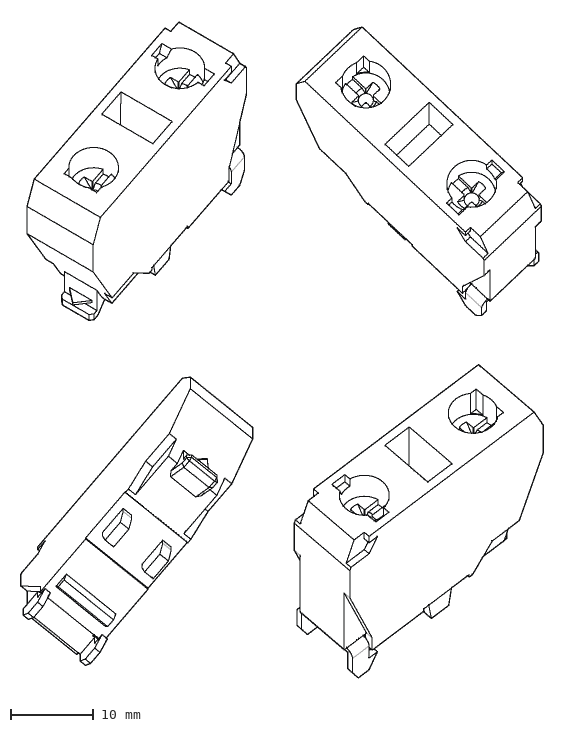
import cadquery as cq


WIDTH = 9.8
LENGTH = 32.0
HEIGHT = 23.5
HALF_WIDTH = WIDTH / 2
FRONT = -LENGTH / 2
BACK = LENGTH / 2
TOP_CORNER_RUN = 1.5
SHOULDER_Z = 19.5
FRONT_KNEE_Z = 13.8
FRONT_FOOT_Y = -10.55
BACK_FOOT_Y = 12.3
OVERHANG_Z = 2.5

BACK_PANEL_INSET = 1.0
BACK_PANEL_TOP_Z = 14.0
FRONT_RECESS_INSET = 1.1
FRONT_RECESS_HEIGHT = 3.8
FRONT_RECESS_BOTTOM_Y = -4.33
FRONT_RECESS_TOP_Y = -7.57
BASE_STEP_LENGTH = 7.5
BASE_STEP_HEIGHT = 0.5

HOOK_THICKNESS = 0.85
HOOK_BACK_Y = 15.57
HOOK_INNER_Y = 12.82
HOOK_TIP_Y = 11.42
HOOK_LEDGE_Z = -1.1
HOOK_CORNER_Z = -1.55
HOOK_BOTTOM_Z = -3.5
HOOK_BOTTOM_BACK_Y = 14.6
HOOK_BEND_RADIUS = 1.15
HOOK_BRIDGE_THICKNESS = 0.75
NOTCH_LEDGE_Z = 22.2
NOTCH_BOTTOM_Z = 20.0

POST_INNER_X = 2.43
POST_THICKNESS = 1.34
POST_LENGTH = 3.95
POST_TIP_LENGTH = 2.88
POST_TAPER_Z = -1.0
POST_BOTTOM_Z = -4.7
RIB_WIDTH = 7.75
RIB_Y = 9.6
RIB_LENGTH = 2.0
RIB_TIP_LENGTH = 1.1
RIB_DEPTH = 1.5

LATCH_WIDTH = 4.8
LATCH_FACE_Y = -11.7
LATCH_ROOT_Y = -8.76
LATCH_LIP_Y = -12.74
LATCH_LIP_Z = -1.3
LATCH_BOTTOM_Z = -2.98
LATCH_BOTTOM_BACK_Y = -11.27
LATCH_CHAMFER = 0.43
LATCH_TOP_Z = 4.0
TAB_HALF_WIDTH = 1.67
TAB_TIP_Y = -13.3
TAB_TOP_Z = 0.2
TAB_THICKNESS = 0.45

SCREW_Y = 9.0
WELL_DIAMETER = 6.0
SCREW_DIAMETER = 5.8
SCREW_HEAD_DEPTH = 4.1
SCREW_HEAD_HEIGHT = 2.5
WELL_DEPTH = SCREW_HEAD_DEPTH + SCREW_HEAD_HEIGHT
DRIVE_WIDTH = 1.2
DRIVE_TOP_RADIUS = 1.9
DRIVE_BOTTOM_RADIUS = 0.9
DRIVE_DEPTH = 1.8
SLOT_DEPTH = 1.0

MIDDLE_POCKET_WIDTH = 7.55
MIDDLE_POCKET_FRONT_Y = -1.97
MIDDLE_POCKET_BACK_Y = 2.05
MIDDLE_POCKET_DRAFT = 0.2
MIDDLE_POCKET_DEPTH = 8.0
BACK_POCKET_WIDTH = 7.75
BACK_POCKET_FRONT_Y = 8.59
BACK_POCKET_BACK_Y = 10.72
BACK_POCKET_SLOPE = 0.53
BACK_POCKET_DEPTH = 1.45
FRONT_POCKET_WIDTH = 4.8
FRONT_POCKET_FRONT_Y = -11.75
FRONT_POCKET_BACK_Y = -SCREW_Y
FRONT_POCKET_DEPTH = SCREW_HEAD_DEPTH

OVERCUT = 1.0


def slab(points, x_start, thickness):
    """Extrude a closed (Y, Z) outline towards +X from x_start."""
    return cq.Workplane("YZ", origin=(x_start, 0, 0)).polyline(points).close().extrude(thickness)


def centred_slab(points, width):
    return slab(points, -width / 2, width)


def side_slabs(points, thickness):
    """The same outline on both flanks, reaching inwards by thickness."""
    left = slab(points, -HALF_WIDTH, thickness)
    return left.union(left.mirror("YZ"))


def make_housing():
    outline = [
        (FRONT_FOOT_Y, 0),
        (FRONT, FRONT_KNEE_Z),
        (FRONT, SHOULDER_Z),
        (FRONT + TOP_CORNER_RUN, HEIGHT),
        (BACK - TOP_CORNER_RUN, HEIGHT),
        (BACK, SHOULDER_Z),
        (BACK, OVERHANG_Z),
        (BACK_FOOT_Y, OVERHANG_Z),
        (BACK_FOOT_Y, 0),
    ]
    return centred_slab(outline, WIDTH)


def make_back_panels():
    return side_slabs(
        [(BACK, BACK_PANEL_TOP_Z), (BACK_FOOT_Y, OVERHANG_Z), (BACK, OVERHANG_Z)],
        BACK_PANEL_INSET,
    )


def make_front_recesses():
    return side_slabs(
        [
            (FRONT_RECESS_BOTTOM_Y, 0),
            (FRONT_RECESS_TOP_Y, FRONT_RECESS_HEIGHT),
            (FRONT, FRONT_RECESS_HEIGHT),
            (FRONT, 0),
        ],
        FRONT_RECESS_INSET,
    )


def make_notches():
    top = HEIGHT + OVERCUT
    return side_slabs(
        [
            (HOOK_INNER_Y, top),
            (HOOK_INNER_Y, NOTCH_LEDGE_Z),
            (HOOK_TIP_Y, NOTCH_LEDGE_Z),
            (HOOK_INNER_Y, NOTCH_BOTTOM_Z),
            (BACK + OVERCUT, NOTCH_BOTTOM_Z),
            (BACK + OVERCUT, top),
        ],
        HOOK_THICKNESS,
    )


def make_base_step():
    return cq.Workplane("XY").box(
        WIDTH, BASE_STEP_LENGTH, BASE_STEP_HEIGHT, centered=(True, True, False)
    )


def make_hooks():
    """Two hooked legs joined by a bridge, with rounded outer bends."""
    legs = side_slabs(
        [
            (HOOK_BACK_Y, OVERHANG_Z),
            (HOOK_BACK_Y, HOOK_CORNER_Z),
            (HOOK_BOTTOM_BACK_Y, HOOK_BOTTOM_Z),
            (HOOK_INNER_Y, HOOK_BOTTOM_Z),
            (HOOK_TIP_Y, HOOK_LEDGE_Z),
            (HOOK_INNER_Y, HOOK_LEDGE_Z),
            (HOOK_INNER_Y, OVERHANG_Z),
        ],
        HOOK_THICKNESS,
    )
    bridge_bottom = OVERHANG_Z - HOOK_BRIDGE_THICKNESS
    bridge = centred_slab(
        [
            (HOOK_INNER_Y, bridge_bottom),
            (HOOK_BACK_Y, bridge_bottom),
            (HOOK_BACK_Y, OVERHANG_Z),
            (HOOK_INNER_Y, OVERHANG_Z),
        ],
        WIDTH,
    )
    hooks = legs.union(bridge)
    hooks = hooks.faces(">Z").edges("|Y").fillet(HOOK_BEND_RADIUS)
    tongue = centred_slab(
        [
            (BACK_FOOT_Y, bridge_bottom),
            (HOOK_INNER_Y, bridge_bottom),
            (HOOK_INNER_Y, OVERHANG_Z),
            (BACK_FOOT_Y, OVERHANG_Z),
        ],
        WIDTH - 2 * HOOK_BEND_RADIUS,
    )
    return hooks.union(tongue)


def make_posts():
    outline = [
        (-POST_LENGTH / 2, BASE_STEP_HEIGHT),
        (-POST_LENGTH / 2, POST_TAPER_Z),
        (-POST_TIP_LENGTH / 2, POST_BOTTOM_Z),
        (POST_TIP_LENGTH / 2, POST_BOTTOM_Z),
        (POST_LENGTH / 2, POST_TAPER_Z),
        (POST_LENGTH / 2, BASE_STEP_HEIGHT),
    ]
    post = slab(outline, POST_INNER_X, POST_THICKNESS)
    return post.union(post.mirror("YZ"))


def make_rib():
    return centred_slab(
        [
            (RIB_Y - RIB_LENGTH / 2, 0),
            (RIB_Y - RIB_TIP_LENGTH / 2, -RIB_DEPTH),
            (RIB_Y + RIB_TIP_LENGTH / 2, -RIB_DEPTH),
            (RIB_Y + RIB_LENGTH / 2, 0),
        ],
        RIB_WIDTH,
    )


def make_latch():
    latch = centred_slab(
        [
            (LATCH_ROOT_Y, LATCH_TOP_Z),
            (LATCH_FACE_Y, LATCH_TOP_Z),
            (LATCH_FACE_Y, LATCH_LIP_Z),
            (LATCH_LIP_Y, LATCH_LIP_Z),
            (LATCH_LIP_Y, LATCH_BOTTOM_Z),
            (LATCH_BOTTOM_BACK_Y, LATCH_BOTTOM_Z),
            (LATCH_ROOT_Y, 0),
        ],
        LATCH_WIDTH,
    )
    outer_edges = (
        latch.faces("<Z").edges("not >Y")
        .add(latch.faces("<Y").edges("|Z"))
        .add(latch.edges("not (|X or |Y or |Z)"))
    )
    return outer_edges.chamfer(LATCH_CHAMFER)


def make_tab():
    """Triangular pointer on the latch face."""
    return (
        cq.Workplane("XY", origin=(0, 0, TAB_TOP_Z - TAB_THICKNESS))
        .polyline([
            (-TAB_HALF_WIDTH, LATCH_FACE_Y),
            (0, TAB_TIP_Y),
            (TAB_HALF_WIDTH, LATCH_FACE_Y),
        ])
        .close()
        .extrude(TAB_THICKNESS)
    )


def make_well(y):
    return (
        cq.Workplane("XY", origin=(0, y, HEIGHT - WELL_DEPTH))
        .circle(WELL_DIAMETER / 2)
        .extrude(WELL_DEPTH + OVERCUT)
    )


def make_screw(y):
    """Screw head with a straight slot crossing a tapered cross recess."""
    head_top = HEIGHT - SCREW_HEAD_DEPTH
    head = (
        cq.Workplane("XY", origin=(0, y, head_top - SCREW_HEAD_HEIGHT))
        .circle(SCREW_DIAMETER / 2)
        .extrude(SCREW_HEAD_HEIGHT)
    )
    drive_plane = cq.Workplane("XY", origin=(0, y, head_top))
    slot = drive_plane.rect(DRIVE_WIDTH, WELL_DIAMETER).extrude(-SLOT_DEPTH)
    cone = cq.Workplane(
        cq.Solid.makeCone(
            DRIVE_TOP_RADIUS, DRIVE_BOTTOM_RADIUS, DRIVE_DEPTH, cq.Vector(0, y, head_top), cq.Vector(0, 0, -1)
        )
    )
    cross = (
        drive_plane.rect(DRIVE_WIDTH, WELL_DIAMETER).extrude(-DRIVE_DEPTH)
        .union(drive_plane.rect(WELL_DIAMETER, DRIVE_WIDTH).extrude(-DRIVE_DEPTH))
        .union(drive_plane.circle(DRIVE_BOTTOM_RADIUS).extrude(-DRIVE_DEPTH))
    )
    return head.cut(slot).cut(cross.intersect(cone))


def make_top_pocket(front_y, back_y, back_slope, depth, width):
    """Pocket in the top face; its back wall leans forward by back_slope over the depth."""
    return centred_slab(
        [
            (front_y, HEIGHT),
            (front_y, HEIGHT - depth),
            (back_y - back_slope, HEIGHT - depth),
            (back_y, HEIGHT),
        ],
        width,
    )


result = make_housing()
for cutter in (make_back_panels(), make_front_recesses(), make_notches(), make_base_step()):
    result = result.cut(cutter)

result = result.cut(
    make_top_pocket(
        MIDDLE_POCKET_FRONT_Y, MIDDLE_POCKET_BACK_Y, MIDDLE_POCKET_DRAFT,
        MIDDLE_POCKET_DEPTH, MIDDLE_POCKET_WIDTH,
    )
)
result = result.cut(
    make_top_pocket(
        BACK_POCKET_FRONT_Y, BACK_POCKET_BACK_Y, BACK_POCKET_SLOPE, BACK_POCKET_DEPTH, BACK_POCKET_WIDTH
    )
)
result = result.cut(
    make_top_pocket(FRONT_POCKET_FRONT_Y, FRONT_POCKET_BACK_Y, 0, FRONT_POCKET_DEPTH, FRONT_POCKET_WIDTH)
)

for screw_y in (-SCREW_Y, SCREW_Y):
    result = result.cut(make_well(screw_y)).union(make_screw(screw_y))

for attachment in (make_hooks(), make_posts(), make_rib(), make_latch(), make_tab()):
    result = result.union(attachment)